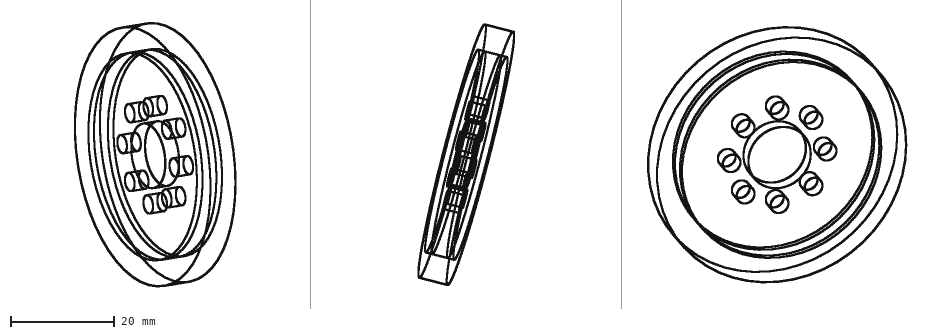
import cadquery as cq

wheel_diameter = 50.8
wheel_width = 5.7
hub_diameter = 40.65
face_recess = 1.25
hub_width = wheel_width - 2 * face_recess
bore_diameter = 12.7
bolt_hole_diameter = 3.6
bolt_circle_diameter = 19.55
bolt_hole_count = 8


def back_plane(width):
    """XZ plane at the +Y face of a disc of this width; extrusion runs toward -Y."""
    return cq.Workplane("XZ", origin=(0, width / 2, 0))


def disc(diameter, width):
    """Solid disc centred on the origin with its axis along Y."""
    return back_plane(width).circle(diameter / 2).extrude(width)


def make_tread():
    """Plain outer ring that surrounds the hub."""
    return disc(wheel_diameter, wheel_width).cut(disc(hub_diameter, wheel_width))


def make_hub():
    """Disc with a centre bore and a ring of through bolt holes."""
    bolt_holes = (
        back_plane(hub_width)
        .polarArray(bolt_circle_diameter / 2, 0, 360, bolt_hole_count)
        .circle(bolt_hole_diameter / 2)
        .extrude(hub_width)
    )
    bore = disc(bore_diameter, hub_width)
    return disc(hub_diameter, hub_width).cut(bore).cut(bolt_holes)


tread = make_tread()
hub = make_hub()

result = cq.Compound.makeCompound([tread.val(), hub.val()])